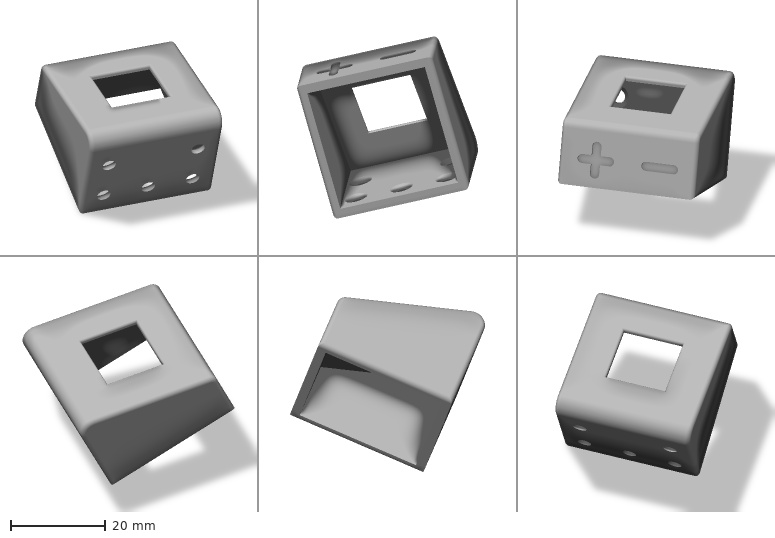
import cadquery as cq
import math

LENGTH = 36.28
WIDTH = 30.0
HEIGHT = 23.47

TILT = 20
WALL = 2.0
ROOF = 1.0
FRONT_RADIUS = 2.0
REAR_RADIUS = 3.0
SIDE_RADIUS = 0.98

WINDOW = 13.05
WINDOW_RADIUS = 0.5

HOLE_DIAMETER = 3.0
SINK_DIAMETER = 5.0
SINK_SLOPE = 45
SINK_DEPTH = (SINK_DIAMETER - HOLE_DIAMETER) / 2 / math.tan(math.radians(SINK_SLOPE))
HOLE_PITCH = 10.0
HOLE_HEIGHT = 5.0

BAR_LENGTH = 7.98
BAR_WIDTH = 2.0
SIGN_DEPTH = 0.5
SIGN_OFFSET = 7.0
SIGN_HEIGHT = 6.0

SIN = math.sin(math.radians(TILT))
COS = math.cos(math.radians(TILT))
TAN = SIN / COS

rear_center_x = LENGTH - REAR_RADIUS
rear_base_x = rear_center_x + (REAR_RADIUS - (HEIGHT - REAR_RADIUS) * SIN) / COS
BASE_LENGTH = rear_base_x / COS
front_base_z = BASE_LENGTH * SIN

front_center_x = (HEIGHT - FRONT_RADIUS - front_base_z) * TAN + FRONT_RADIUS / COS
window_x = (front_center_x + rear_center_x) / 2


def from_base(along, up):
    """Global (x, z) of a point measured along the sloping base and square to it."""
    return (along * COS + up * SIN, front_base_z - along * SIN + up * COS)


def wall_plane(along, up):
    """Sketch plane parallel to the end walls, its normal pointing to the rear."""
    x, z = from_base(along, up)
    return cq.Plane(origin=(x, 0, z), xDir=(0, 1, 0), normal=(COS, 0, -SIN))


def tilted_prism(inset, top, width):
    """Prism between the end walls moved in by inset, open to the base, with a level top."""
    ends = (inset, BASE_LENGTH - inset)
    lower = [from_base(along, 0) for along in ends]
    upper = [(x + (top - z) * TAN, top) for x, z in reversed(lower)]
    return cq.Workplane("XZ").polyline(lower + upper).close().extrude(width / 2, both=True)


def outer_body():
    body = tilted_prism(0, HEIGHT, WIDTH)
    body = body.faces(">Z").edges("<X").fillet(FRONT_RADIUS)
    body = body.faces(">Z").edges(">X").fillet(REAR_RADIUS)
    return body.faces("<Y or >Y").edges().fillet(SIDE_RADIUS)


def cut_window(body):
    top = cq.Workplane("XY", origin=(window_x, 0, HEIGHT))
    body = body.cut(top.rect(WINDOW, WINDOW).extrude(-ROOF))
    half_box = WINDOW / 2 + WINDOW_RADIUS
    rim = cq.selectors.BoxSelector(
        (window_x - half_box, -half_box, HEIGHT - WINDOW_RADIUS / 2),
        (window_x + half_box, half_box, HEIGHT + WINDOW_RADIUS / 2),
    )
    return body.edges(rim).fillet(WINDOW_RADIUS)


def screw_holes():
    lower_row = [(y, 0) for y in (-HOLE_PITCH, 0, HOLE_PITCH)]
    upper_row = [(y, HOLE_PITCH) for y in (-HOLE_PITCH, HOLE_PITCH)]
    inner_face = cq.Workplane(wall_plane(BASE_LENGTH - WALL, HOLE_HEIGHT))
    inner_face = inner_face.pushPoints(lower_row + upper_row)
    bores = inner_face.circle(HOLE_DIAMETER / 2).extrude(WALL)
    sinks = inner_face.circle(SINK_DIAMETER / 2).extrude(SINK_DEPTH, taper=SINK_SLOPE)
    return bores.union(sinks)


def sign_bar(y, angle):
    face = cq.Workplane(wall_plane(0, SIGN_HEIGHT)).center(y, 0)
    return face.slot2D(BAR_LENGTH, BAR_WIDTH, angle).extrude(SIGN_DEPTH)


cavity = tilted_prism(WALL, HEIGHT - ROOF, WIDTH - 2 * WALL)
result = cut_window(outer_body().cut(cavity)).cut(screw_holes())
for bar_y, bar_angle in [(SIGN_OFFSET, 0), (SIGN_OFFSET, 90), (-SIGN_OFFSET, 0)]:
    result = result.cut(sign_bar(bar_y, bar_angle))